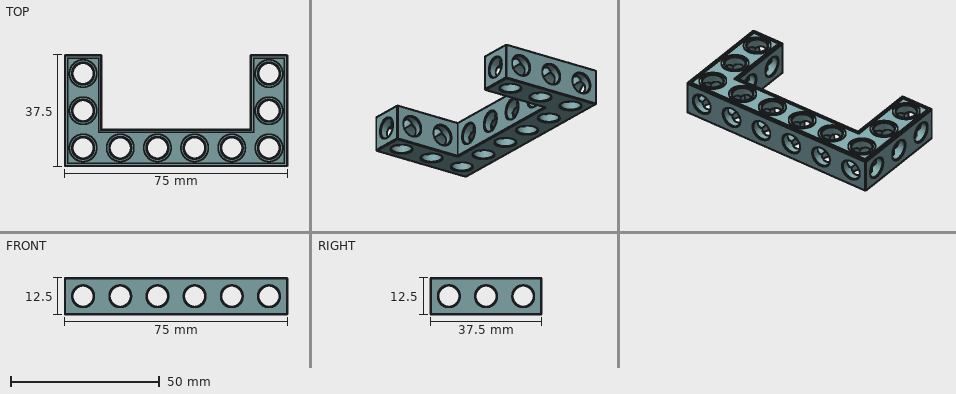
import cadquery as cq

long_cells = 6
short_cells = 3
length = 75.0
pitch = length / long_cells
hole_diameter = 7.0
edge_chamfer = 0.3
collar_diameter = 9.2
rim_width = 1.05
recess_depth = 0.2

depth = short_cells * pitch
height = pitch
arm_inner_x = length - pitch
half_cell = pitch / 2


def cell_center(index):
    """Distance from the part's corner to the middle of a cell."""
    return half_cell + index * pitch


def u_outline(inset=0.0):
    """U-shaped outline, moved inward from the outer faces by the inset."""
    near, far_x, far_y = inset, length - inset, depth - inset
    return [
        (near, near),
        (far_x, near),
        (far_x, far_y),
        (arm_inner_x + inset, far_y),
        (arm_inner_x + inset, pitch - inset),
        (pitch - inset, pitch - inset),
        (pitch - inset, far_y),
        (near, far_y),
    ]


def make_body():
    """U-shaped beam with its edges broken, the two inside corners left sharp."""
    body = cq.Workplane("XY").polyline(u_outline()).close().extrude(height)
    inside_corners = cq.selectors.BoxSelector(
        (half_cell, half_cell, 0), (length - half_cell, depth - half_cell, height)
    )
    upright_edges = cq.selectors.StringSyntaxSelector("|Z")
    outer_edges = cq.selectors.SubtractSelector(upright_edges, inside_corners)
    body = body.edges(outer_edges).chamfer(edge_chamfer)
    return body.faces("<Z or >Z").edges().chamfer(edge_chamfer)


def make_top_recess(hole_centers):
    """Shallow top recess inside the rim, leaving a collar around every hole."""
    floor = cq.Workplane("XY").workplane(offset=height - recess_depth)
    recess = floor.polyline(u_outline(rim_width)).close().extrude(recess_depth)
    collars = floor.pushPoints(hole_centers).circle(collar_diameter / 2).extrude(recess_depth)
    return recess.cut(collars)


def make_hole(start, direction, span):
    """Through-hole cutter of the given span with a countersink at both mouths."""
    radius = hole_diameter / 2
    mouth_radius = radius + edge_chamfer
    start = cq.Vector(*start)
    direction = cq.Vector(*direction)
    end = start + direction * span
    bore = cq.Solid.makeCylinder(radius, span, start, direction)
    entry = cq.Solid.makeCone(mouth_radius, radius, edge_chamfer, start, direction)
    leave = cq.Solid.makeCone(mouth_radius, radius, edge_chamfer, end, direction * -1)
    return bore.fuse(entry, leave)


base_cells = [(column, 0) for column in range(long_cells)]
arm_cells = [(column, row) for column in (0, long_cells - 1) for row in range(1, short_cells)]
hole_centers = [(cell_center(column), cell_center(row)) for column, row in base_cells + arm_cells]
middle_z = height / 2

result = make_body().cut(make_top_recess(hole_centers))

for x, y in hole_centers:
    result = result.cut(make_hole((x, y, 0), (0, 0, 1), height))

for column in range(long_cells):
    span = depth if column in (0, long_cells - 1) else pitch
    result = result.cut(make_hole((cell_center(column), 0, middle_z), (0, 1, 0), span))

result = result.cut(make_hole((0, half_cell, middle_z), (1, 0, 0), length))
for row in range(1, short_cells):
    for arm_x in (0, arm_inner_x):
        result = result.cut(make_hole((arm_x, cell_center(row), middle_z), (1, 0, 0), pitch))